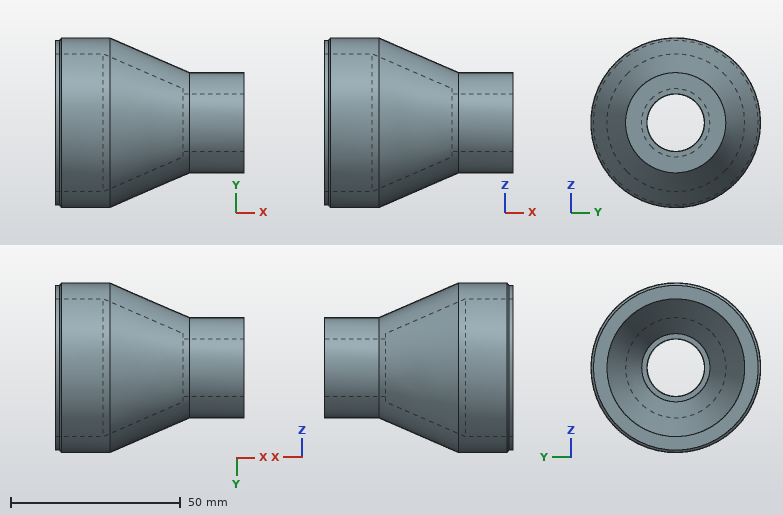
import cadquery as cq

length = 55.5
open_end = -length / 2
lip_end = open_end + 1.2
bevel_end = open_end + 1.85
cone_start = open_end + 16.0
cone_end = open_end + 39.5
spigot_end = length / 2

inner_cone_offset = 1.95
inner_cone_start = cone_start - inner_cone_offset
inner_cone_end = cone_end - inner_cone_offset

body_radius = 50.0 / 2
lip_radius = 24.25
spigot_radius = 14.75
wall = 4.7
outlet_radius = 8.45

outer_profile = [
    (open_end, 0),
    (open_end, lip_radius),
    (lip_end, lip_radius),
    (bevel_end, body_radius),
    (cone_start, body_radius),
    (cone_end, spigot_radius),
    (spigot_end, spigot_radius),
    (spigot_end, 0),
]

bore_profile = [
    (open_end, 0),
    (open_end, body_radius - wall),
    (inner_cone_start, body_radius - wall),
    (inner_cone_end, spigot_radius - wall),
    (inner_cone_end, outlet_radius),
    (spigot_end, outlet_radius),
    (spigot_end, 0),
]


def turned_about_x(profile):
    """Revolve a closed (x, radius) profile about the X axis."""
    return cq.Workplane("XY").polyline(profile).close().revolve(360, (0, 0, 0), (1, 0, 0))


result = turned_about_x(outer_profile).cut(turned_about_x(bore_profile))